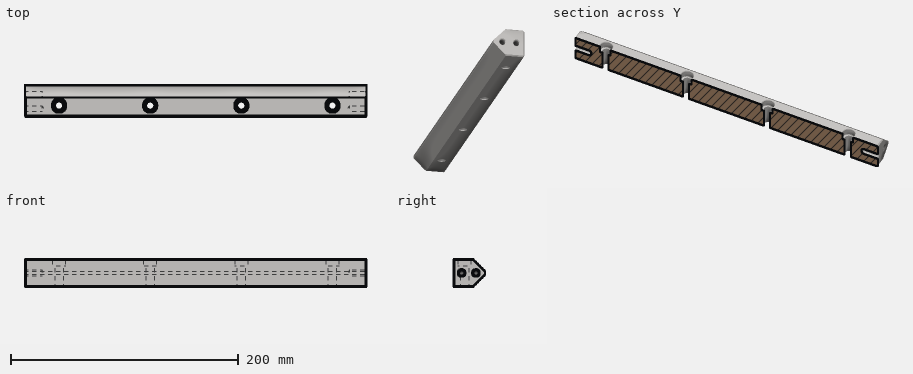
import cadquery as cq

length = 300.0
width = 28.0
height = 25.0

nose_depth = 11.0
nose_start = width - nose_depth
nose_half_flat = height / 2 - nose_depth

edge_chamfer = 1.08

mount_hole_count = 4
mount_end_distance = 30.0
mount_y = 10.0
mount_diameter = 7.5
counterbore_diameter = 11.5
counterbore_depth = 6.3
counterbore_chamfer = 0.5

end_hole_ys = (7.2, 19.8)
end_hole_diameter = 5.0
end_hole_mouth_diameter = 6.5
end_hole_depth = 15.0
end_hole_radius = end_hole_diameter / 2
mouth_radius = end_hole_mouth_diameter / 2
mouth_depth = mouth_radius - end_hole_radius
drill_point_length = 1.5


def make_bar():
    """Five-sided bar along X, centred on X and Z, with its back face at Y = 0."""
    profile = [
        (0, -height / 2),
        (nose_start, -height / 2),
        (width, -nose_half_flat),
        (width, nose_half_flat),
        (nose_start, height / 2),
        (0, height / 2),
    ]
    bar = cq.Workplane("YZ").polyline(profile).close().extrude(length / 2, both=True)
    return bar.edges("<Y or |Y").chamfer(edge_chamfer)


def mounting_hole(x):
    """Through hole with a chamfered counterbore in the top face."""
    bore_radius = mount_diameter / 2
    counterbore_radius = counterbore_diameter / 2
    top = height / 2
    outline = [
        (0, -top),
        (bore_radius, -top),
        (bore_radius, top - counterbore_depth),
        (counterbore_radius, top - counterbore_depth),
        (counterbore_radius, top - counterbore_chamfer),
        (counterbore_radius + counterbore_chamfer, top),
        (0, top),
    ]
    return (
        cq.Workplane("XZ", origin=(x, mount_y, 0))
        .polyline(outline)
        .close()
        .revolve(360, (0, 0, 0), (0, 1, 0))
    )


def end_hole(y):
    """Countersunk blind hole entering the -X end."""
    outline = [
        (0, 0),
        (0, mouth_radius),
        (mouth_depth, end_hole_radius),
        (end_hole_depth, end_hole_radius),
        (end_hole_depth + drill_point_length, 0),
    ]
    return (
        cq.Workplane("XY", origin=(-length / 2, y, 0))
        .polyline(outline)
        .close()
        .revolve(360, (0, 0, 0), (1, 0, 0))
    )


result = make_bar()

mount_spacing = (length - 2 * mount_end_distance) / (mount_hole_count - 1)
for hole_number in range(mount_hole_count):
    hole_x = -length / 2 + mount_end_distance + hole_number * mount_spacing
    result = result.cut(mounting_hole(hole_x))

for hole_y in end_hole_ys:
    hole = end_hole(hole_y)
    result = result.cut(hole).cut(hole.mirror("YZ"))